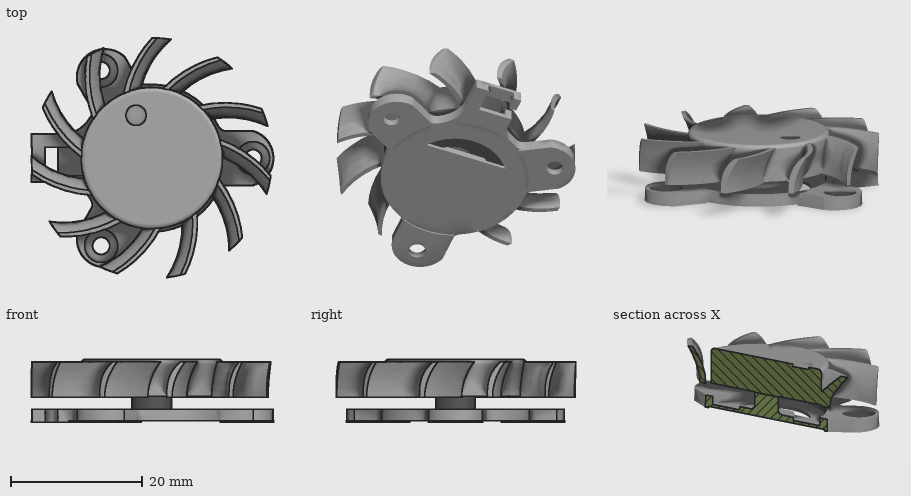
import cadquery as cq
import math

FOOT_H = 0.22
BASE_TOP = 2.0
FLOOR_TOP = 0.75
PAD_TOP = 1.25
FOOT_MARGIN = 0.07

DISC_R = 11.28
DISH_R = 10.43
LUG_COUNT = 3
LUG_HALF_W = 4.1
LUG_REACH = 18.52
HOLE_CIRCLE_R = 15.45
HOLE_D = 2.6
COUNTERBORE_D = 5.05
COUNTERBORE_DEPTH = 0.85
LUG_FILLET = 1.6

OUTLET_END = 18.3
OUTLET_HALF_W = 3.65
OUTLET_FILLET_PLUS_Y = 5.05
OUTLET_FILLET_MINUS_Y = 3.07
BAR_W = 2.05
SLOT_W = 1.92
CHANNEL_Y_MAX = 1.65
CHANNEL_Y_MIN = -2.65
TUNNEL_Y_MIN = -2.5
TUNNEL_TOP = 1.45

WINDOW_R = 7.95
WINDOW_INNER_X = -4.62

PAD_R = 5.55
POST_D = 6.05
POST_FILLET = 0.55

HUB_R = 10.8
HUB_BOTTOM = 4.0
HUB_TOP = 9.65
HUB_FILLET = 0.7
DIMPLE_X = -2.4
DIMPLE_Y = 6.55
DIMPLE_D = 3.1
DIMPLE_DEPTH = 0.37

BLADE_COUNT = 11
BLADE_BOTTOM = 3.8
BLADE_TOP = 9.25
BLADE_TIP_R = 18.37
BLADE_ROOT_R = HUB_R - 0.2
BLADE_LEVELS = 5
CONCAVE_EDGE = ((-3.6, 9.6), (-2.05, 14.25), (1.33, 18.85))
CONVEX_EDGE = ((-4.35, 9.6), (-2.8, 14.25), (0.55, 18.85))
CONCAVE_LEAN = (1.75, 1.77, 2.55)
CONVEX_LEAN = (1.75, 1.75, 2.33)
CONCAVE_POWER = (2.0, 2.4, 3.0)
CONVEX_POWER = (2.0, 2.0, 2.0)


def block(x_min, x_max, y_min, y_max, z_min, z_max):
    """Axis-parallel block between the given limits."""
    size = (x_max - x_min, y_max - y_min, z_max - z_min)
    return cq.Workplane("XY").box(*size, centered=False).translate((x_min, y_min, z_min))


def disc(radius, z_min, z_max):
    return cq.Workplane("XY", origin=(0, 0, z_min)).circle(radius).extrude(z_max - z_min)


def around(shape, index, count):
    """Copy number `index` of `count` copies evenly spaced around Z."""
    return shape.rotate((0, 0, 0), (0, 0, 1), 360 * index / count)


def lug(margin, z_min, z_max):
    """Lug along +X with a bowed end, grown outwards by the margin."""
    half_w = LUG_HALF_W + margin
    return (
        cq.Workplane("XY", origin=(0, 0, z_min))
        .moveTo(0, -half_w)
        .lineTo(HOLE_CIRCLE_R, -half_w)
        .threePointArc((LUG_REACH + margin, 0), (HOLE_CIRCLE_R, half_w))
        .lineTo(0, half_w)
        .close()
        .extrude(z_max - z_min)
    )


def outlet(margin, z_min, z_max):
    """Solid block of the cable outlet, grown by the margin at its end and +Y side."""
    return block(-OUTLET_END - margin, 0, -OUTLET_HALF_W, OUTLET_HALF_W + margin, z_min, z_max)


def fillet_disc_corner(body, half_w, side, angle, radius):
    """Round the upright inside corner on one side (+1 or -1) of an arm leaving the disc."""
    corner_angle = math.radians(angle) + side * math.asin(half_w / DISC_R)
    corner = (
        DISC_R * math.cos(corner_angle),
        DISC_R * math.sin(corner_angle),
        (FOOT_H + BASE_TOP) / 2,
    )
    return body.edges("|Z").edges(cq.selectors.NearestToPointSelector(corner)).fillet(radius)


def make_base():
    body = disc(DISC_R, FOOT_H, BASE_TOP).union(outlet(0, FOOT_H, BASE_TOP))
    for i in range(LUG_COUNT):
        body = body.union(around(lug(0, FOOT_H, BASE_TOP), i, LUG_COUNT))
    for i in range(LUG_COUNT):
        for side in (-1, 1):
            body = fillet_disc_corner(body, LUG_HALF_W, side, 360 * i / LUG_COUNT, LUG_FILLET)
    body = fillet_disc_corner(body, OUTLET_HALF_W, -1, 180, OUTLET_FILLET_PLUS_Y)
    body = fillet_disc_corner(body, OUTLET_HALF_W, 1, 180, OUTLET_FILLET_MINUS_Y)

    feet = outlet(FOOT_MARGIN, 0, FOOT_H)
    for i in range(LUG_COUNT):
        feet = feet.union(around(lug(FOOT_MARGIN, 0, FOOT_H), i, LUG_COUNT))
    body = body.union(feet.cut(disc(DISC_R, 0, FOOT_H)))

    body = body.cut(disc(DISH_R, FLOOR_TOP, BASE_TOP)).union(disc(PAD_R, FLOOR_TOP, PAD_TOP))
    window = block(-WINDOW_R, WINDOW_INNER_X, -WINDOW_R, WINDOW_R, 0, BASE_TOP)
    body = body.cut(window.intersect(disc(WINDOW_R, 0, BASE_TOP)))

    hole = disc(HOLE_D / 2, 0, BASE_TOP)
    hole = hole.union(disc(COUNTERBORE_D / 2, BASE_TOP - COUNTERBORE_DEPTH, BASE_TOP))
    hole = hole.translate((HOLE_CIRCLE_R, 0, 0))
    for i in range(LUG_COUNT):
        body = body.cut(around(hole, i, LUG_COUNT))

    bar_inner = -OUTLET_END + BAR_W
    channel_end = bar_inner + SLOT_W
    outside = OUTLET_END + BAR_W
    channel = block(channel_end, -WINDOW_R, CHANNEL_Y_MIN, CHANNEL_Y_MAX, FLOOR_TOP, BASE_TOP)
    slot = block(bar_inner, channel_end, -outside, CHANNEL_Y_MAX, 0, BASE_TOP)
    slot = slot.intersect(outlet(FOOT_MARGIN, 0, BASE_TOP))
    tunnel = block(-outside, bar_inner, TUNNEL_Y_MIN, CHANNEL_Y_MAX, 0, TUNNEL_TOP)
    body = body.cut(channel).cut(slot).cut(tunnel)

    post_r = POST_D / 2
    post = (
        cq.Workplane("XZ")
        .moveTo(0, PAD_TOP)
        .lineTo(post_r + POST_FILLET, PAD_TOP)
        .radiusArc((post_r, PAD_TOP + POST_FILLET), POST_FILLET)
        .lineTo(post_r, HUB_BOTTOM)
        .lineTo(0, HUB_BOTTOM)
        .close()
        .revolve(360, (0, 0), (0, 1))
    )
    return body.union(post)


def blade_edge(edge, leans, powers, rise):
    """Root, middle and tip point of a blade face at a rise from 0 (bottom) to 1 (top)."""
    z = BLADE_BOTTOM + (BLADE_TOP - BLADE_BOTTOM) * rise
    return [
        cq.Vector(x + lean * (1 - rise ** power), y, z)
        for (x, y), lean, power in zip(edge, leans, powers)
    ]


def blade_section(rise):
    """Plan outline of a blade at the given rise: two arcs joined at root and tip."""
    concave = blade_edge(CONCAVE_EDGE, CONCAVE_LEAN, CONCAVE_POWER, rise)
    convex = blade_edge(CONVEX_EDGE, CONVEX_LEAN, CONVEX_POWER, rise)
    return cq.Wire.assembleEdges([
        cq.Edge.makeThreePointArc(*convex),
        cq.Edge.makeLine(convex[-1], concave[-1]),
        cq.Edge.makeThreePointArc(*reversed(concave)),
        cq.Edge.makeLine(concave[0], convex[0]),
    ])


def make_blade():
    """One leaning blade, lofted through its plan outlines and trimmed to the hub and tip radii."""
    sections = [blade_section(i / (BLADE_LEVELS - 1)) for i in range(BLADE_LEVELS)]
    blank = cq.Workplane(cq.Solid.makeLoft(sections))
    ring = disc(BLADE_TIP_R, BLADE_BOTTOM, BLADE_TOP).cut(disc(BLADE_ROOT_R, BLADE_BOTTOM, BLADE_TOP))
    return blank.intersect(ring)


def make_rotor():
    body = disc(HUB_R, HUB_BOTTOM, HUB_TOP).faces(">Z").edges().fillet(HUB_FILLET)
    dimple = disc(DIMPLE_D / 2, HUB_TOP - DIMPLE_DEPTH, HUB_TOP)
    body = body.cut(dimple.translate((DIMPLE_X, DIMPLE_Y, 0)))
    blade = make_blade()
    for i in range(BLADE_COUNT):
        body = body.union(around(blade, i, BLADE_COUNT))
    return body


base = make_base()
rotor = make_rotor()
result = cq.Compound.makeCompound([base.val(), rotor.val()])